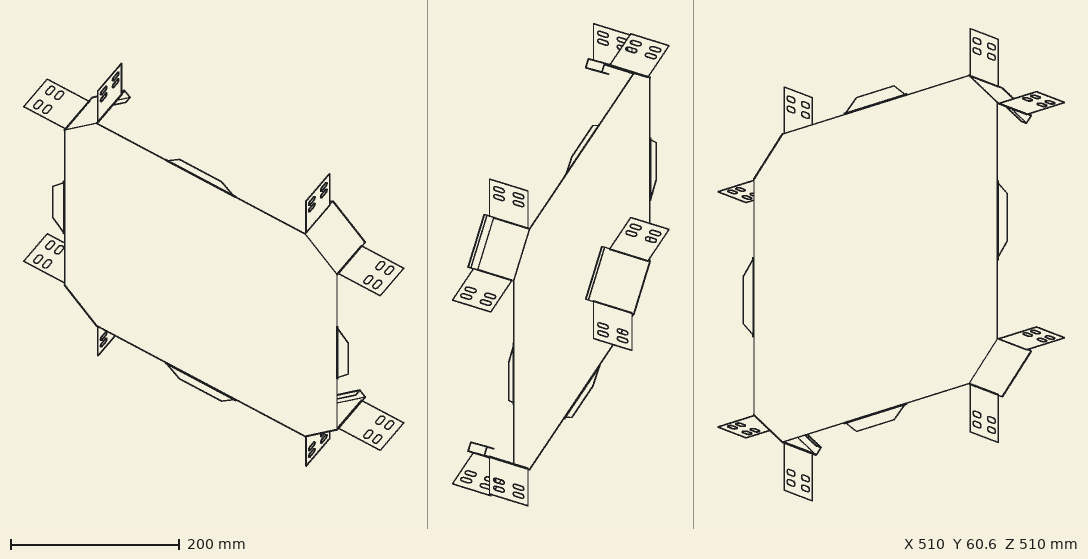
import cadquery as cq
import math

overall = 510.0
sheet = 0.75
plate_half = 195.0
corner_cut = 45.0
wall_depth = 59.9

tab_height = 50.0
tab_back_gap = 7.0
slot_width = 6.5
slot_length = 14.0
slot_bridge = 6.0
slot_pair_inset = 19.0
slot_pair_pitch = 25.5

flange_width = 11.5
lip_depth = 9.0

lug_top_width = 60.0
lug_base_width = 96.0
lug_reach = 16.5
step_width = 100.0
step_reach = 1.5

tab_end = overall / 2
cut_start = plate_half - corner_cut
wall_far = plate_half + sheet
wall_near = cut_start - sheet
lug_base = plate_half + step_reach / 2
lug_tip = plate_half + lug_reach
tab_middle = wall_depth - tab_back_gap - tab_height / 2


def slab(points, front, back):
    """Prism with an XZ outline, reaching from Y = front to Y = back."""
    return cq.Workplane("XZ", origin=(0, front, 0)).polyline(points).close().extrude(front - back)


def diagonal_band(outer_offset, width, front, back):
    """Block parallel to the corner cut, between two depths inward from it."""
    outer = outer_offset / math.sqrt(2)
    inner = (outer_offset + width) / math.sqrt(2)
    points = [
        (wall_far - outer, wall_near - outer),
        (wall_near - outer, wall_far - outer),
        (wall_near - inner, wall_far - inner),
        (wall_far - inner, wall_near - inner),
    ]
    return slab(points, front, back)


def make_plate():
    side = 2 * plate_half
    plate = cq.Workplane("XY").box(side, sheet, side, centered=(True, False, True))
    return plate.edges("|Y").chamfer(corner_cut)


def make_tab():
    """Tab pointing along +X, with two pairs of round-ended slots."""
    length = tab_end - plate_half + sheet
    tab = cq.Workplane("XY").box(length, tab_height, sheet)
    tab = tab.translate((tab_end - length / 2, tab_middle, wall_near - sheet / 2))
    slot_pitch = slot_bridge + slot_width
    slots = (
        cq.Workplane("XY", origin=(tab_end - slot_pair_inset, tab_middle, wall_near - 2 * sheet))
        .rarray(slot_pitch, slot_pair_pitch, 2, 2)
        .slot2D(slot_length, slot_width, 90)
        .extrude(3 * sheet)
    )
    return tab.cut(slots)


def make_corner():
    """Wall, folded back edge and two tabs of the +X +Z corner."""
    flange_front = wall_depth - sheet
    wall = diagonal_band(0, sheet, 0, wall_depth)
    flange = diagonal_band(0, flange_width, flange_front, wall_depth)
    lip = diagonal_band(flange_width - sheet, sheet, wall_depth - lip_depth, wall_depth)
    tab = make_tab()
    other_tab = tab.mirror("XY").rotate((0, 0, 0), (0, 1, 0), -90)
    return wall.union(flange).union(lip).union(tab).union(other_tab)


def make_lug():
    """Tapered lug on the +Z side, one sheet forward of the plate, carried by a half-sheet step."""
    points = [
        (-lug_base_width / 2, lug_base),
        (-lug_top_width / 2, lug_tip),
        (lug_top_width / 2, lug_tip),
        (lug_base_width / 2, lug_base),
    ]
    step = cq.Workplane("XY").box(step_width, sheet, step_reach, centered=(True, False, False))
    return slab(points, -sheet, 0).union(step.translate((0, -sheet / 2, plate_half)))


result = make_plate()
corner = make_corner()
lug = make_lug()
for quarter in range(4):
    angle = 90 * quarter
    result = result.union(corner.rotate((0, 0, 0), (0, 1, 0), angle))
    result = result.union(lug.rotate((0, 0, 0), (0, 1, 0), angle))